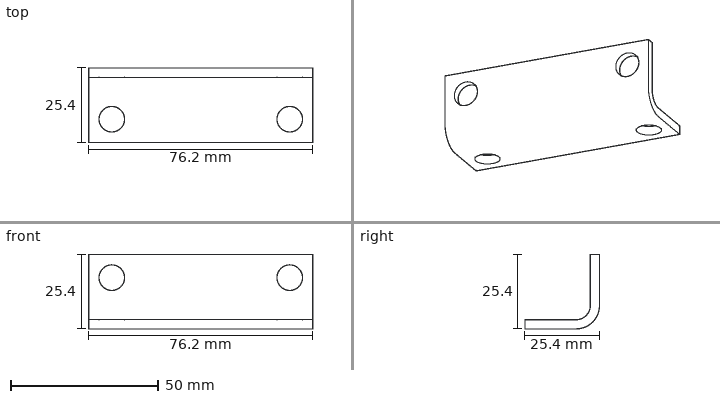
import cadquery as cq

length = 76.2
leg = 25.4
thickness = 3.2
inner_bend_radius = 4.8
outer_bend_radius = inner_bend_radius + thickness

hole_diameter = 8.6
hole_spacing = 60.4
hole_edge_distance = 7.9


def make_angle():
    """L-shaped bar: base leg toward -Y, upright leg toward +Z, outer corner at Y = Z = 0."""
    bar = (
        cq.Workplane("YZ")
        .polyline([
            (0, 0),
            (0, leg),
            (-thickness, leg),
            (-thickness, thickness),
            (-leg, thickness),
            (-leg, 0),
        ])
        .close()
        .extrude(length / 2, both=True)
    )
    inner_corner = cq.selectors.NearestToPointSelector((0, -thickness, thickness))
    bar = bar.edges(inner_corner).fillet(inner_bend_radius)
    outer_corner = cq.selectors.NearestToPointSelector((0, 0, 0))
    return bar.edges(outer_corner).fillet(outer_bend_radius)


def hole_pair(plane, height):
    """Two cylinders spaced along X that pass through a leg lying on the given plane."""
    return (
        cq.Workplane(plane)
        .pushPoints([(side * hole_spacing / 2, height) for side in (-1, 1)])
        .circle(hole_diameter / 2)
        .extrude(thickness)
    )


hole_distance_from_corner = leg - hole_edge_distance
upright_holes = hole_pair("XZ", hole_distance_from_corner)
base_holes = hole_pair("XY", -hole_distance_from_corner)

result = make_angle().cut(upright_holes).cut(base_holes)